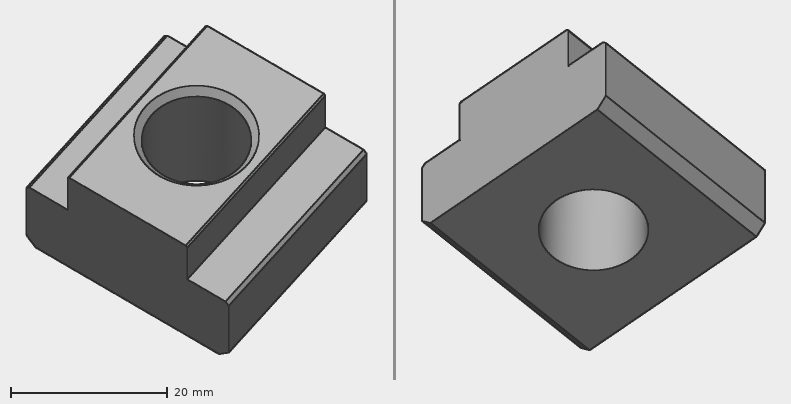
import cadquery as cq

width = 32.0
length = 30.0
height = 19.0

neck_width = 18.9
neck_height = 7.0
flange_height = height - neck_height
bottom_chamfer = 1.5
flange_chamfer = 0.5
neck_chamfer = 0.25

bore_diameter = 14.0
countersink_diameter = 16.0
countersink_angle = 90.0


def t_profile():
    """Cross-section in XZ, resting on Z = 0 and symmetric about X = 0."""
    half_width = width / 2
    half_neck = neck_width / 2
    right_side = [
        (half_width - bottom_chamfer, 0),
        (half_width, bottom_chamfer),
        (half_width, flange_height - flange_chamfer),
        (half_width - flange_chamfer, flange_height),
        (half_neck, flange_height),
        (half_neck, height - neck_chamfer),
        (half_neck - neck_chamfer, height),
    ]
    left_side = [(-x, z) for x, z in reversed(right_side)]
    return cq.Workplane("XZ").polyline(right_side + left_side).close()


body = t_profile().extrude(length / 2, both=True)

result = (
    body.faces(">Z")
    .workplane(origin=(0, 0, height))
    .cskHole(bore_diameter, countersink_diameter, countersink_angle)
)